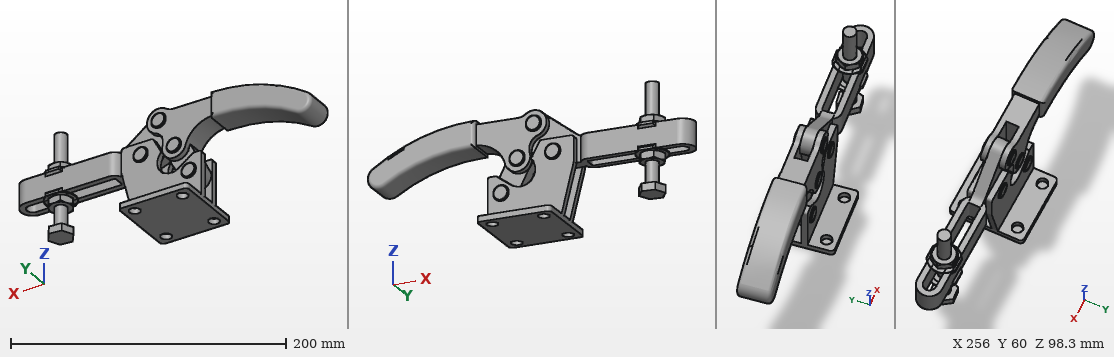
import cadquery as cq
import math


CORE_WIDTH = 10.0
CHEEK_THICKNESS = 5.0
BODY_WIDTH = CORE_WIDTH + 2 * CHEEK_THICKNESS

ARM_HANDLE_PIVOT = (36.5, 77.8)
HANDLE_LINK_PIVOT = (23.5, 52.7)
ARM_BASE_PIVOT = (52.0, 53.8)
LINK_BASE_PIVOT = (10.8, 27.6)
PIN_RADIUS = 6.1
PIN_LENGTH = 22.8
PIN_CHAMFER = 0.8
LOBE_RADIUS = 10.2

PLATE_LENGTH = 59.0
PLATE_WIDTH = 60.0
PLATE_THICKNESS = 4.5
PLATE_CORNER_RADIUS = 3.0
MOUNT_HOLE_DIAMETER = 8.7
MOUNT_HOLE_PITCH_X = 41.0
MOUNT_HOLE_PITCH_Y = 43.0
CHEEK_FRONT_HEIGHT = 41.5
CHEEK_FRONT_LENGTH = 7.0
CHEEK_TOP = 64.0
CHEEK_TOP_START = 41.7
CHEEK_BACK = 68.5
CHEEK_BACK_BOTTOM = 43.5
CHEEK_FRONT_ROUND = 1.8
CHEEK_TOP_ROUND = 2.3
CUTOUT_CENTRE = (26.0, 42.2)
CUTOUT_RADIUS = 11.8
CUTOUT_EXIT_ANGLE = 45

GRIP_BACK = -9.2
GRIP_TOP = 86.8
GRIP_BOTTOM = 65.3
GRIP_BOTTOM_BEND = -13.5
GRIP_WIDTH = 26.4
GRIP_TIP_CENTRE = (-86.3, 54.0)
GRIP_TIP_RADIUS = 9.0
GRIP_EDGE_RADIUS = 3.0
LEVER_TOP = 84.0
LEVER_BOTTOM = 67.5
LEVER_SHOULDER_RADIUS = 10.2
LEVER_SHOULDER_SLOPE = 30
LEVER_UNDERSIDE_MIDDLE = (2.8, 64.0)
LEVER_UNDERSIDE_END_ANGLE = 190
FORK_START = 14.3

LINK_RADIUS = 9.7

LOOP_HEIGHT = 20.0
LOOP_TOP = CHEEK_TOP
LOOP_BOTTOM = LOOP_TOP - LOOP_HEIGHT
LOOP_START = 72.0
LOOP_SHOULDER = 79.5
LOOP_END = 160.7
SLOT_START = 77.0
SLOT_CORNER_RADIUS = 1.3
SLOPE_BLEND_RADIUS = 11.0
ARM_HEEL_CORNER = (34.8, 50.2)
ARM_FRONT_ANGLE = 225

SPINDLE_X = 126.7
SPINDLE_TOP = 98.3
SPINDLE_BOTTOM = 12.3
HEX_FLATS = 18.0
HEX_CORNER_RADIUS = HEX_FLATS / 2 / math.cos(math.pi / 6)
HEX_HEIGHT = 6.1
HEAD_TURN = 5
HEX_CHAMFER_ANGLE = 30
WASHER_THICKNESS = 0.8
WASHER_RADIUS = 12.5
TAB_WIDTH = 14.5
TAB_DEPTH = 3.0
TAB_PROJECTION = 1.8
TAB_TAPER = 45


def polar(centre, radius, degrees):
    """Point on a circle at the given angle."""
    angle = math.radians(degrees)
    return (centre[0] + radius * math.cos(angle), centre[1] + radius * math.sin(angle))


def towards(start, end, distance):
    """Point at a distance from start in the direction of end."""
    span = math.dist(start, end)
    return tuple(a + (b - a) * distance / span for a, b in zip(start, end))


def apex(first, second, reach_first, reach_second):
    """Point right of the line first -> second at the two given distances from its ends."""
    span = math.dist(first, second)
    along = (span**2 + reach_first**2 - reach_second**2) / (2 * span)
    aside = math.sqrt(reach_first**2 - along**2)
    ux = (second[0] - first[0]) / span
    uz = (second[1] - first[1]) / span
    return (first[0] + ux * along + uz * aside, first[1] + uz * along - ux * aside)


def side_profile(start):
    """Sketch on the mid-plane in X and Z, with its pen at the start point."""
    return cq.Workplane("XZ").moveTo(*start)


def cylinder_across(centre, radius, length):
    """Cylinder along Y, centred on the mid-plane."""
    return cq.Workplane("XZ").center(*centre).circle(radius).extrude(length / 2, both=True)


def pin(centre):
    return cylinder_across(centre, PIN_RADIUS, PIN_LENGTH).edges().chamfer(PIN_CHAMFER)


def pin_holes(centres):
    holes = cq.Workplane("XZ").pushPoints(centres).circle(PIN_RADIUS)
    return holes.extrude(BODY_WIDTH, both=True)


def make_base():
    plate = (
        cq.Workplane("XY")
        .center(PLATE_LENGTH / 2, 0)
        .rect(PLATE_LENGTH, PLATE_WIDTH)
        .extrude(PLATE_THICKNESS)
        .edges("|Z")
        .fillet(PLATE_CORNER_RADIUS)
        .faces(">Z")
        .workplane()
        .rarray(MOUNT_HOLE_PITCH_X, MOUNT_HOLE_PITCH_Y, 2, 2)
        .hole(MOUNT_HOLE_DIAMETER)
    )

    front_corner = (CHEEK_FRONT_LENGTH, CHEEK_FRONT_HEIGHT)
    corner_reach = math.dist(front_corner, CUTOUT_CENTRE)
    tangent_reach = math.sqrt(corner_reach**2 - CUTOUT_RADIUS**2)
    cutout_entry = apex(front_corner, CUTOUT_CENTRE, tangent_reach, CUTOUT_RADIUS)
    cheeks = (
        side_profile((0, PLATE_THICKNESS))
        .lineTo(0, CHEEK_FRONT_HEIGHT)
        .lineTo(*front_corner)
        .lineTo(*cutout_entry)
        .threePointArc(
            polar(CUTOUT_CENTRE, CUTOUT_RADIUS, CUTOUT_EXIT_ANGLE - 90),
            polar(CUTOUT_CENTRE, CUTOUT_RADIUS, CUTOUT_EXIT_ANGLE),
        )
        .lineTo(CHEEK_TOP_START, CHEEK_TOP)
        .lineTo(CHEEK_BACK, CHEEK_TOP)
        .lineTo(CHEEK_BACK, CHEEK_BACK_BOTTOM)
        .lineTo(PLATE_LENGTH, PLATE_THICKNESS)
        .close()
        .extrude(BODY_WIDTH / 2, both=True)
    )
    rounded_corners = [
        ((0, CHEEK_FRONT_HEIGHT), CHEEK_FRONT_ROUND),
        ((CHEEK_TOP_START, CHEEK_TOP), CHEEK_TOP_ROUND),
        ((CHEEK_BACK, CHEEK_TOP), CHEEK_TOP_ROUND),
    ]
    for (x, z), radius in rounded_corners:
        corner = cq.NearestToPointSelector((x, 0, z))
        cheeks = cheeks.edges("|Y").edges(corner).fillet(radius)
    channel = (
        cq.Workplane("XY")
        .workplane(offset=PLATE_THICKNESS)
        .rect(4 * CHEEK_BACK, CORE_WIDTH)
        .extrude(CHEEK_TOP)
    )
    base = plate.union(cheeks.cut(channel))
    for pivot in (ARM_BASE_PIVOT, LINK_BASE_PIVOT):
        base = base.union(pin(pivot))
    return base


def make_grip():
    """Curved grip: two arcs tangent to a round tip."""
    tip_x, tip_z = GRIP_TIP_CENTRE
    reach = GRIP_BACK - tip_x
    rise = GRIP_TOP - tip_z
    top_radius = (reach**2 + rise**2 - GRIP_TIP_RADIUS**2) / (2 * (rise - GRIP_TIP_RADIUS))
    top_centre = (GRIP_BACK, GRIP_TOP - top_radius)
    reach = GRIP_BOTTOM_BEND - tip_x
    rise = GRIP_BOTTOM - tip_z
    bottom_radius = (reach**2 + rise**2 - GRIP_TIP_RADIUS**2) / (2 * (rise + GRIP_TIP_RADIUS))
    bottom_centre = (GRIP_BOTTOM_BEND, GRIP_BOTTOM - bottom_radius)

    tip_top = towards(top_centre, GRIP_TIP_CENTRE, top_radius)
    tip_bottom = towards(bottom_centre, GRIP_TIP_CENTRE, bottom_radius)
    top_middle_x = (GRIP_BACK + tip_top[0]) / 2
    bottom_middle_x = (GRIP_BOTTOM_BEND + tip_bottom[0]) / 2
    top_middle_z = top_centre[1] + math.sqrt(top_radius**2 - (top_middle_x - GRIP_BACK) ** 2)
    bottom_middle_z = bottom_centre[1] + math.sqrt(
        bottom_radius**2 - (bottom_middle_x - GRIP_BOTTOM_BEND) ** 2
    )
    return (
        side_profile((GRIP_BACK, GRIP_TOP))
        .threePointArc((top_middle_x, top_middle_z), tip_top)
        .threePointArc((tip_x - GRIP_TIP_RADIUS, tip_z), tip_bottom)
        .threePointArc((bottom_middle_x, bottom_middle_z), (GRIP_BOTTOM_BEND, GRIP_BOTTOM))
        .lineTo(GRIP_BACK, GRIP_BOTTOM)
        .close()
        .extrude(GRIP_WIDTH / 2, both=True)
        .faces("<Y or >Y")
        .edges()
        .fillet(GRIP_EDGE_RADIUS)
    )


def make_lever():
    """Forked lever: one lobe around each pivot, with hollow flanks tangent to the lobes."""
    slope_end = polar(ARM_HANDLE_PIVOT, LOBE_RADIUS, 90 + LEVER_SHOULDER_SLOPE)
    slope_rise = slope_end[1] - LEVER_TOP
    slope_foot_x = slope_end[0] - slope_rise / math.tan(math.radians(LEVER_SHOULDER_SLOPE))
    hollow = apex(HANDLE_LINK_PIVOT, ARM_HANDLE_PIVOT, 2 * LOBE_RADIUS, 2 * LOBE_RADIUS)
    lobe_chord = tuple((a + b) / 2 for a, b in zip(HANDLE_LINK_PIVOT, ARM_HANDLE_PIVOT))
    lever = (
        side_profile((GRIP_BACK, LEVER_BOTTOM))
        .lineTo(GRIP_BACK, LEVER_TOP)
        .lineTo(slope_foot_x, LEVER_TOP)
        .lineTo(*slope_end)
        .threePointArc(
            polar(ARM_HANDLE_PIVOT, LOBE_RADIUS, 30),
            towards(ARM_HANDLE_PIVOT, hollow, LOBE_RADIUS),
        )
        .threePointArc(
            towards(hollow, lobe_chord, LOBE_RADIUS),
            towards(HANDLE_LINK_PIVOT, hollow, LOBE_RADIUS),
        )
        .threePointArc(
            polar(HANDLE_LINK_PIVOT, LOBE_RADIUS, -90),
            polar(HANDLE_LINK_PIVOT, LOBE_RADIUS, LEVER_UNDERSIDE_END_ANGLE),
        )
        .threePointArc(LEVER_UNDERSIDE_MIDDLE, (GRIP_BACK, LEVER_BOTTOM))
        .close()
        .extrude(BODY_WIDTH / 2, both=True)
        .edges("|Y")
        .edges(cq.NearestToPointSelector((slope_foot_x, 0, LEVER_TOP)))
        .fillet(LEVER_SHOULDER_RADIUS)
    )
    fork_length = 2 * ARM_HANDLE_PIVOT[0]
    fork = cq.Workplane("XY").box(
        fork_length, CORE_WIDTH, 2 * LEVER_TOP, centered=(False, True, False)
    )
    return lever.cut(fork.translate((FORK_START, 0, 0)))


def make_handle():
    handle = make_lever().union(make_grip())
    for pivot in (ARM_HANDLE_PIVOT, HANDLE_LINK_PIVOT):
        handle = handle.union(pin(pivot))
    return handle


def make_link():
    rise = HANDLE_LINK_PIVOT[1] - LINK_BASE_PIVOT[1]
    run = HANDLE_LINK_PIVOT[0] - LINK_BASE_PIVOT[0]
    centre = (LINK_BASE_PIVOT[0] + run / 2, LINK_BASE_PIVOT[1] + rise / 2)
    length = math.hypot(run, rise) + 2 * LINK_RADIUS
    heading = math.degrees(math.atan2(rise, run))
    link = (
        cq.Workplane("XZ")
        .center(*centre)
        .slot2D(length, 2 * LINK_RADIUS, heading)
        .extrude(CORE_WIDTH / 2, both=True)
    )
    link = link.cut(pin_holes([HANDLE_LINK_PIVOT, LINK_BASE_PIVOT]))
    return link.cut(make_lever())


def make_arm():
    slope_foot = (LOOP_START, LOOP_TOP)
    foot_reach = math.dist(ARM_HANDLE_PIVOT, slope_foot)
    slope_length = math.sqrt(foot_reach**2 - LOBE_RADIUS**2)
    slope_start = apex(slope_foot, ARM_HANDLE_PIVOT, slope_length, LOBE_RADIUS)
    knuckle = cylinder_across(ARM_HANDLE_PIVOT, LOBE_RADIUS, CORE_WIDTH)
    web = (
        side_profile(ARM_HANDLE_PIVOT)
        .lineTo(*slope_start)
        .lineTo(*slope_foot)
        .lineTo(SLOT_START, LOOP_TOP)
        .lineTo(SLOT_START, LOOP_BOTTOM)
        .lineTo(ARM_BASE_PIVOT[0], LOOP_BOTTOM)
        .lineTo(*ARM_HEEL_CORNER)
        .lineTo(*polar(ARM_HANDLE_PIVOT, LOBE_RADIUS, ARM_FRONT_ANGLE))
        .close()
        .extrude(CORE_WIDTH / 2, both=True)
        .edges(cq.NearestToPointSelector((LOOP_START, 0, LOOP_TOP)))
        .fillet(SLOPE_BLEND_RADIUS)
    )

    half_loop = BODY_WIDTH / 2
    half_core = CORE_WIDTH / 2
    shoulder_reach = LOOP_SHOULDER - LOOP_START
    shoulder_radius = (shoulder_reach**2 + CHEEK_THICKNESS**2) / (2 * CHEEK_THICKNESS)
    tip_x = LOOP_END - half_loop
    loop = (
        cq.Workplane("XY", origin=(0, 0, LOOP_BOTTOM))
        .moveTo(LOOP_START, -half_core)
        .lineTo(LOOP_START, half_core)
        .radiusArc((LOOP_SHOULDER, half_loop), shoulder_radius)
        .lineTo(tip_x, half_loop)
        .threePointArc((LOOP_END, 0), (tip_x, -half_loop))
        .lineTo(LOOP_SHOULDER, -half_loop)
        .radiusArc((LOOP_START, -half_core), shoulder_radius)
        .close()
        .extrude(LOOP_HEIGHT)
    )
    slot = (
        cq.Workplane("XY", origin=(0, 0, LOOP_BOTTOM))
        .moveTo(SLOT_START, -half_core)
        .lineTo(SLOT_START, half_core)
        .lineTo(tip_x, half_core)
        .threePointArc((tip_x + half_core, 0), (tip_x, -half_core))
        .close()
        .extrude(LOOP_HEIGHT)
        .edges("|Z and <X")
        .fillet(SLOT_CORNER_RADIUS)
    )
    arm = knuckle.union(web).union(loop).cut(slot)
    return arm.cut(pin_holes([ARM_HANDLE_PIVOT, ARM_BASE_PIVOT]))


def hexagon(bottom):
    """Hexagonal block on the spindle axis, corners along X."""
    plane = cq.Workplane("XY", origin=(SPINDLE_X, 0, bottom))
    return plane.polygon(6, 2 * HEX_CORNER_RADIUS).extrude(HEX_HEIGHT)


def nut(bottom):
    """Hexagon with conically chamfered corners at both ends."""
    drop = (HEX_CORNER_RADIUS - HEX_FLATS / 2) * math.tan(math.radians(HEX_CHAMFER_ANGLE))
    envelope = (
        cq.Workplane("XZ", origin=(SPINDLE_X, 0, bottom))
        .lineTo(HEX_FLATS / 2, 0)
        .lineTo(HEX_CORNER_RADIUS, drop)
        .lineTo(HEX_CORNER_RADIUS, HEX_HEIGHT - drop)
        .lineTo(HEX_FLATS / 2, HEX_HEIGHT)
        .lineTo(0, HEX_HEIGHT)
        .close()
        .revolve(360, (0, 0), (0, 1))
    )
    return hexagon(bottom).intersect(envelope)


def make_spindle():
    shank = (
        cq.Workplane("XY", origin=(SPINDLE_X, 0, SPINDLE_BOTTOM))
        .circle(CORE_WIDTH / 2)
        .extrude(SPINDLE_TOP - SPINDLE_BOTTOM)
    )
    axis_start = (SPINDLE_X, 0, 0)
    axis_end = (SPINDLE_X, 0, 1)
    head = hexagon(SPINDLE_BOTTOM).rotate(axis_start, axis_end, HEAD_TURN)
    upper_nut = nut(LOOP_TOP + WASHER_THICKNESS)
    lower_nut = nut(LOOP_BOTTOM - WASHER_THICKNESS - HEX_HEIGHT)
    return shank.union(head).union(upper_nut).union(lower_nut)


def make_washer():
    """Upper washer: a disc with a bevelled tab over each side of the loop."""
    side = BODY_WIDTH / 2
    reach = side + TAB_PROJECTION
    washer = (
        cq.Workplane("XY", origin=(SPINDLE_X, 0, LOOP_TOP))
        .circle(WASHER_RADIUS)
        .extrude(WASHER_THICKNESS)
        .intersect(cq.Workplane("XY").box(4 * LOOP_END, 2 * reach, 4 * LOOP_TOP))
    )
    tab_height = TAB_DEPTH + WASHER_THICKNESS
    tab = (
        cq.Workplane("XZ", origin=(SPINDLE_X, -side, LOOP_TOP + WASHER_THICKNESS))
        .rect(TAB_WIDTH, 2 * tab_height)
        .extrude(TAB_PROJECTION, taper=TAB_TAPER)
    )
    above_top = cq.Workplane("XY", origin=(SPINDLE_X, 0, LOOP_TOP + WASHER_THICKNESS)).box(
        2 * WASHER_RADIUS, 4 * reach, 2 * tab_height, centered=(True, True, False)
    )
    tab = tab.cut(above_top)
    washer = washer.union(tab).union(tab.mirror("XZ"))
    bore = cq.Workplane("XY", origin=(SPINDLE_X, 0, 0)).circle(CORE_WIDTH / 2).extrude(SPINDLE_TOP)
    return washer.cut(bore)


base = make_base()
handle = make_handle()
link = make_link()
arm = make_arm()
spindle = make_spindle()
upper_washer = make_washer()
loop_middle = (LOOP_TOP + LOOP_BOTTOM) / 2
lower_washer = upper_washer.mirror("XY", (0, 0, loop_middle))

result = cq.Compound.makeCompound(
    [
        base.val(),
        handle.val(),
        link.val(),
        arm.val(),
        spindle.val(),
        upper_washer.val(),
        lower_washer.val(),
    ]
)